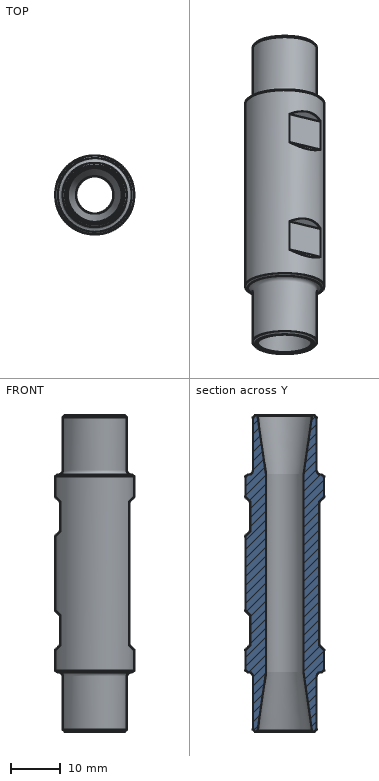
import cadquery as cq

TOTAL_LENGTH = 64.0
BORE_DIAMETER = 7.5

BODY_DIAMETER = 16.0
BODY_LENGTH = 40.0
BODY_CHAMFER_WIDTH = 0.55
BODY_CHAMFER_HEIGHT = 0.4

SPIGOT_DIAMETER = 13.0
SPIGOT_CHAMFER = 0.5
ROOT_FILLET = 0.8

MOUTH_DIAMETER = 10.9
MOUTH_DEPTH = 12.0
RIM_CHAMFER = 0.25

FLAT_OFFSET = 7.0
SHORT_FLAT_LENGTH = 6.0
SHORT_FLAT_CENTER_Z = 11.5
LONG_FLAT_LENGTH = 2 * SHORT_FLAT_CENTER_Z + SHORT_FLAT_LENGTH

body_radius = BODY_DIAMETER / 2
spigot_radius = SPIGOT_DIAMETER / 2
bore_radius = BORE_DIAMETER / 2
mouth_radius = MOUTH_DIAMETER / 2
half_body = BODY_LENGTH / 2
half_length = TOTAL_LENGTH / 2


def revolve_about_z(profile):
    return profile.revolve(360, (0, 0, 0), (0, 1, 0))


def make_body():
    """Central cylinder with both rims chamfered."""
    shoulder_radius = body_radius - BODY_CHAMFER_WIDTH
    chamfer_start = half_body - BODY_CHAMFER_HEIGHT
    profile = (
        cq.Workplane("XZ")
        .moveTo(0, -half_body)
        .lineTo(shoulder_radius, -half_body)
        .lineTo(body_radius, -chamfer_start)
        .lineTo(body_radius, chamfer_start)
        .lineTo(shoulder_radius, half_body)
        .lineTo(0, half_body)
        .close()
    )
    return revolve_about_z(profile)


def make_upper_spigot():
    """Spigot on the +Z end, with a root fillet and a chamfered tip."""
    profile = (
        cq.Workplane("XZ")
        .moveTo(0, half_body)
        .lineTo(spigot_radius + ROOT_FILLET, half_body)
        .radiusArc((spigot_radius, half_body + ROOT_FILLET), ROOT_FILLET)
        .lineTo(spigot_radius, half_length - SPIGOT_CHAMFER)
        .lineTo(spigot_radius - SPIGOT_CHAMFER, half_length)
        .lineTo(0, half_length)
        .close()
    )
    return revolve_about_z(profile)


def make_bore_cutter():
    return cq.Workplane("XY").circle(bore_radius).extrude(half_length, both=True)


def make_upper_mouth_cutter():
    """Cutter for the conical mouth on the +Z end and its rim chamfer."""
    profile = (
        cq.Workplane("XZ")
        .moveTo(0, half_length - MOUTH_DEPTH)
        .lineTo(bore_radius, half_length - MOUTH_DEPTH)
        .lineTo(mouth_radius, half_length - RIM_CHAMFER)
        .lineTo(mouth_radius + RIM_CHAMFER, half_length)
        .lineTo(0, half_length)
        .close()
    )
    return revolve_about_z(profile)


def make_flat_cutter(side, center_z, length):
    """Cutter for one flat; side is +1 for the +X side and -1 for the -X side."""
    depth = body_radius - FLAT_OFFSET
    half_floor = length / 2
    half_opening = half_floor + depth
    profile = (
        cq.Workplane("XZ")
        .moveTo(side * FLAT_OFFSET, center_z - half_floor)
        .lineTo(side * FLAT_OFFSET, center_z + half_floor)
        .lineTo(side * body_radius, center_z + half_opening)
        .lineTo(side * body_radius, center_z - half_opening)
        .close()
    )
    return profile.extrude(body_radius, both=True)


upper_spigot = make_upper_spigot()
result = make_body().union(upper_spigot).union(upper_spigot.mirror("XY"))

upper_mouth = make_upper_mouth_cutter()
result = result.cut(make_bore_cutter()).cut(upper_mouth).cut(upper_mouth.mirror("XY"))

for flat_center_z in (SHORT_FLAT_CENTER_Z, -SHORT_FLAT_CENTER_Z):
    result = result.cut(make_flat_cutter(-1, flat_center_z, SHORT_FLAT_LENGTH))
result = result.cut(make_flat_cutter(1, 0, LONG_FLAT_LENGTH))